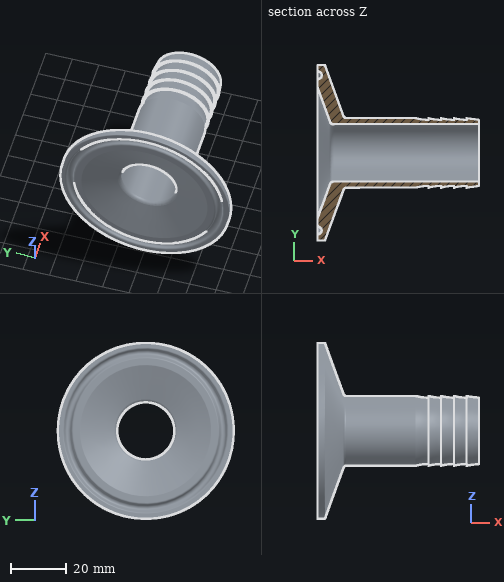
import cadquery as cq
import math


total_length = 58.75
flange_radius = 31.95
tube_radius = 25.4 / 2
bore_radius = 20.65 / 2

flange_rim_end = 2.8
cone_angle = math.radians(20)
rim_front_fillet = 0.3
rim_back_fillet = 0.5
neck_fillet = 1.0
mouth_radius = 23.8
mouth_edge_fillet = 0.5
bore_entry_fillet = 1.55

groove_center_radius = 28.2
groove_half_width = 2.0
groove_floor_radius = 1.2
groove_lip_radius = 0.75
groove_flank_angle = math.radians(65)

barb_count = 5
barb_pitch = 4.6
barb_root_radius = 12.1
tip_fillet = 0.5

barbs_start = total_length - barb_count * barb_pitch
cone_slope = math.tan(cone_angle)


def revolve_about_x(profile):
    return profile.close().revolve(360, (0, 0, 0), (1, 0, 0))


def circle_edges(body, x, radius):
    """Select the circular edges of the given radius around the X axis at x."""
    margin = 0.03
    outer = cq.selectors.BoxSelector(
        (x - margin, -radius - margin, -radius - margin),
        (x + margin, radius + margin, radius + margin),
        boundingbox=True,
    )
    inner_reach = radius - margin
    inner = cq.selectors.BoxSelector(
        (x - margin, -inner_reach, -inner_reach),
        (x + margin, inner_reach, inner_reach),
        boundingbox=True,
    )
    return body.edges(outer - inner)


def make_body():
    """Flange, conical back, tube and barbs, without any openings."""
    neck_x = flange_rim_end + (flange_radius - tube_radius) * cone_slope
    barb_drop = tube_radius - barb_root_radius
    profile = (
        cq.Workplane("XY")
        .lineTo(0, flange_radius)
        .lineTo(flange_rim_end, flange_radius)
        .lineTo(neck_x, tube_radius)
        .lineTo(barbs_start, tube_radius)
    )
    arc_radius = (barb_pitch**2 + barb_drop**2) / (2 * barb_drop)
    half_pitch = barb_pitch / 2
    middle_radius = barb_root_radius + arc_radius - math.sqrt(arc_radius**2 - half_pitch**2)
    for index in range(barb_count - 1):
        start = barbs_start + index * barb_pitch
        end = start + barb_pitch
        profile = profile.threePointArc((start + half_pitch, middle_radius), (end, barb_root_radius))
        profile = profile.lineTo(end, tube_radius)
    profile = profile.lineTo(total_length, barb_root_radius).lineTo(total_length, 0)
    body = revolve_about_x(profile)

    body = circle_edges(body, 0, flange_radius).fillet(rim_front_fillet)
    body = circle_edges(body, flange_rim_end, flange_radius).fillet(rim_back_fillet)
    body = circle_edges(body, neck_x, tube_radius).fillet(neck_fillet)
    return circle_edges(body, total_length, barb_root_radius).fillet(tip_fillet)


def make_bore():
    """Conical mouth blending through a rounded entry into the straight bore."""
    entry_x = (mouth_radius - bore_radius) * cone_slope
    bore = revolve_about_x(
        cq.Workplane("XY")
        .lineTo(0, mouth_radius)
        .lineTo(entry_x, bore_radius)
        .lineTo(total_length, bore_radius)
        .lineTo(total_length, 0)
    )
    return circle_edges(bore, entry_x, bore_radius).fillet(bore_entry_fillet)


def make_groove():
    """Gasket groove: rounded lips, short sloping flanks and a round floor, all tangent."""
    sine = math.sin(groove_flank_angle)
    cosine = math.cos(groove_flank_angle)
    flank_outer = groove_half_width - groove_lip_radius * sine
    flank_inner = groove_floor_radius * sine
    flank_start_x = groove_lip_radius * (1 - cosine)
    flank_end_x = flank_start_x + (flank_outer - flank_inner) * sine / cosine
    floor_x = flank_end_x + groove_floor_radius * (1 - cosine)
    lip_x = groove_lip_radius * (1 - math.cos(groove_flank_angle / 2))
    lip_offset = groove_half_width - groove_lip_radius * math.sin(groove_flank_angle / 2)
    middle = groove_center_radius
    return revolve_about_x(
        cq.Workplane("XY")
        .moveTo(0, middle + groove_half_width)
        .threePointArc((lip_x, middle + lip_offset), (flank_start_x, middle + flank_outer))
        .lineTo(flank_end_x, middle + flank_inner)
        .threePointArc((floor_x, middle), (flank_end_x, middle - flank_inner))
        .lineTo(flank_start_x, middle - flank_outer)
        .threePointArc((lip_x, middle - lip_offset), (0, middle - groove_half_width))
    )


openings = make_bore().union(make_groove())
result = circle_edges(make_body().cut(openings), 0, mouth_radius).fillet(mouth_edge_fillet)